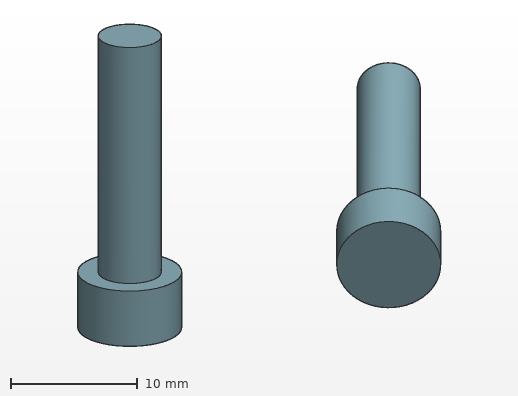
import cadquery as cq

total_length = 24.7
head_diameter = 8.2
head_height = 4.7
shank_diameter = 5.0
shank_length = total_length - head_height

head = cq.Workplane("XY").circle(head_diameter / 2).extrude(head_height)

result = head.faces(">Z").workplane().circle(shank_diameter / 2).extrude(shank_length)